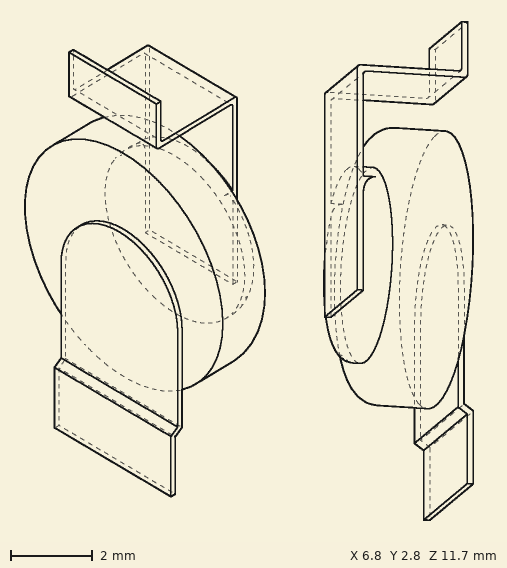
import cadquery as cq

total_depth = 2.8
total_height = 11.7
bottom_z = -5.8
top_z = bottom_z + total_height
sheet = 0.15

can_radius = 3.399
can_front_y = 0.39
can_back_y = 2.15
can_round = 0.5
cap_radius = 2.4
cap_back_y = total_depth - sheet
cap_round = 0.3

front_tab_width = 4.0
front_tab_center_z = -0.91
joggle_top_z = -3.8
joggle_drop = 0.16
joggle_back_shift = 0.09

strip_width = 3.01
strip_end_z = -1.0
shelf_top_z = top_z - 1.24
bend_radius = 0.08


def disc(radius, front_y, back_y):
    return cq.Workplane("XZ", origin=(0, front_y, 0)).circle(radius).extrude(front_y - back_y)


def sheet_profile(points, width):
    """Extrude a closed (Y, Z) outline symmetrically across X."""
    return cq.Workplane("YZ").polyline(points).close().extrude(width / 2, both=True)


def make_cell():
    can = disc(can_radius, can_front_y, can_back_y).faces(">Y").edges().fillet(can_round)
    cap_blank = disc(cap_radius, can_front_y, cap_back_y)
    cap = cap_blank.faces(">Y").edges().fillet(cap_round)
    strip_band = cq.Workplane("XY").box(
        strip_width, 2 * total_depth, cap_radius, centered=(True, True, False)
    )
    return can.union(cap).union(cap_blank.intersect(strip_band))


def make_front_tab():
    """Round-topped tab on the can, stepping forward to a flat foot."""
    tab_front_y = can_front_y - sheet
    tab_radius = front_tab_width / 2
    joggle_back_z = joggle_top_z - joggle_back_shift
    leg = sheet_profile(
        [
            (tab_front_y, front_tab_center_z),
            (can_front_y, front_tab_center_z),
            (can_front_y, joggle_back_z),
            (sheet, joggle_back_z - joggle_drop),
            (sheet, bottom_z),
            (0, bottom_z),
            (0, joggle_top_z - joggle_drop),
            (tab_front_y, joggle_top_z),
        ],
        front_tab_width,
    )
    round_top = disc(tab_radius, tab_front_y, can_front_y).translate((0, 0, front_tab_center_z))
    return leg.union(round_top)


def make_rear_strip():
    """Strip on the cap, bent forward over the can and up into a foot."""
    shelf_bottom_z = shelf_top_z - sheet
    strip = sheet_profile(
        [
            (total_depth, strip_end_z),
            (total_depth, shelf_top_z),
            (sheet, shelf_top_z),
            (sheet, top_z),
            (0, top_z),
            (0, shelf_bottom_z),
            (cap_back_y, shelf_bottom_z),
            (cap_back_y, strip_end_z),
        ],
        strip_width,
    )
    bends = cq.selectors.BoxSelector(
        (-strip_width, -sheet, shelf_bottom_z - sheet),
        (strip_width, total_depth + sheet, shelf_top_z + sheet),
    )
    return strip.edges("|X").edges(bends).fillet(bend_radius)


result = make_cell().union(make_front_tab()).union(make_rear_strip())